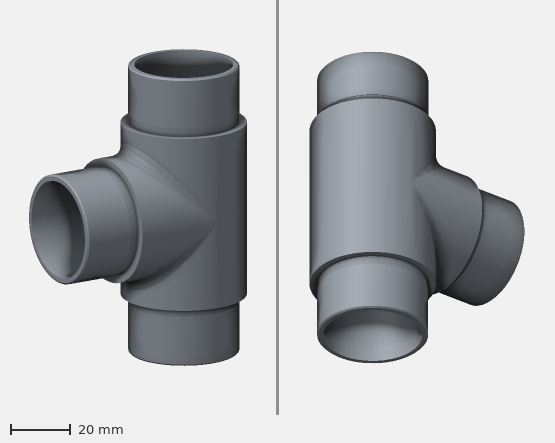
import cadquery as cq
import math

body_diameter = 42.4
spigot_diameter = 37.3
groove_diameter = 36.9
bore_diameter = 33.2
arm_length = 50.0
spigot_length = 17.0
groove_width = 3.0
rim_chamfer = 0.5
crotch_radius = 4.2
track_overlap = 0.01

groove_end = arm_length - spigot_length
body_reach = groove_end - groove_width
body_radius = body_diameter / 2
ball_reach = body_radius + crotch_radius - track_overlap

up = (0, 0, 1)
down = (0, 0, -1)
front = (0, -1, 0)


def cylinder_along(direction, diameter, start, end):
    """Solid cylinder on an axis through the tee centre, between two distances from it."""
    axis = cq.Vector(*direction)
    return cq.Workplane(cq.Solid.makeCylinder(diameter / 2, end - start, axis * start, axis))


def spigot(direction):
    """Reduced neck followed by the push-in sleeve with a chamfered rim."""
    neck = cylinder_along(direction, groove_diameter, 0, groove_end)
    sleeve = cylinder_along(direction, spigot_diameter, groove_end, arm_length)
    rim = cq.Vector(*direction) * arm_length
    sleeve = sleeve.edges(cq.selectors.NearestToPointSelector(rim.toTuple())).chamfer(rim_chamfer)
    return neck.union(sleeve)


def upper_crotch_filler():
    """Concave rounding in the upper corner between run and branch.

    A ball rolling along both pipes follows an ellipse in the 45 degree mitre plane.
    Its contact curves lie in two planes through the X axis; the filler lies between
    these planes, inside of the track left by the ball.
    """
    wedge_scale = 1.5
    near_side = wedge_scale * body_radius
    far_side = wedge_scale * ball_reach
    wedge = (
        cq.Workplane("YZ")
        .polyline([(0, 0), (-near_side, far_side), (-far_side, near_side)])
        .close()
        .extrude(ball_reach, both=True)
    )

    mitre_reach = ball_reach * math.sqrt(2)
    mitre_plane = cq.Plane(origin=(0, 0, 0), xDir=(1, 0, 0), normal=(0, 1, 1))
    prism = (
        cq.Workplane(mitre_plane)
        .ellipse(ball_reach, mitre_reach)
        .extrude(2 * crotch_radius, both=True)
    )

    ball_path = cq.Workplane(mitre_plane).ellipse(ball_reach, mitre_reach)
    path_start = cq.Plane(origin=(ball_reach, 0, 0), xDir=(1, 0, 0), normal=(0, -1, 1))
    ball_track = cq.Workplane(path_start).circle(crotch_radius).sweep(ball_path)

    return wedge.intersect(prism).cut(ball_track)


body = cylinder_along(up, body_diameter, -body_reach, body_reach)
body = body.union(cylinder_along(front, body_diameter, 0, body_reach))

filler = upper_crotch_filler()
body = body.union(filler).union(filler.mirror("XY"))

for direction in (up, down, front):
    body = body.union(spigot(direction))

tee = body.cut(cylinder_along(up, bore_diameter, -arm_length, arm_length))
tee = tee.cut(cylinder_along(front, bore_diameter, 0, arm_length))

result = cq.Workplane(tee.solids().val())